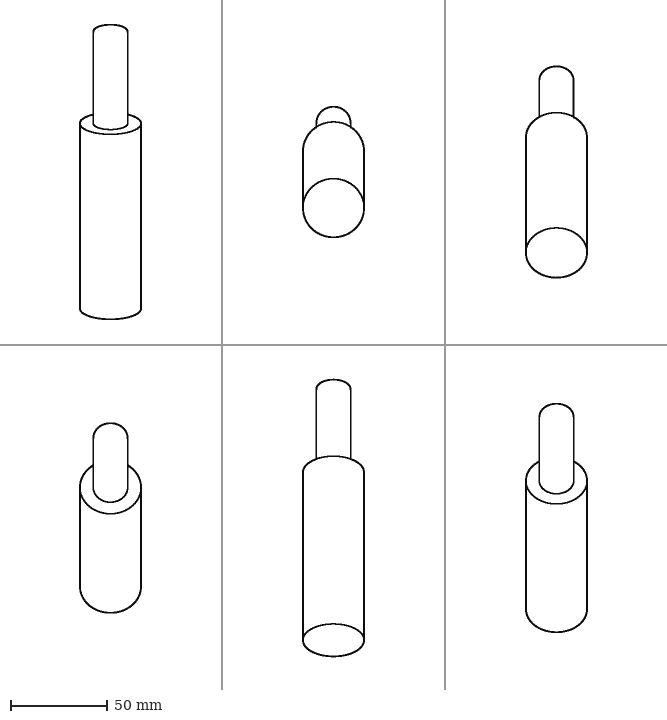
import cadquery as cq

total_height = 155.0
body_height = 103.0
body_diameter = 32.0
shank_diameter = 18.0
tip_radius = 1.0

shank_height = total_height - body_height

body = cq.Workplane("XY").circle(body_diameter / 2).extrude(body_height)

shank = (
    cq.Workplane("XY")
    .workplane(offset=body_height)
    .circle(shank_diameter / 2)
    .extrude(shank_height)
    .faces(">Z")
    .fillet(tip_radius)
)

result = body.union(shank)